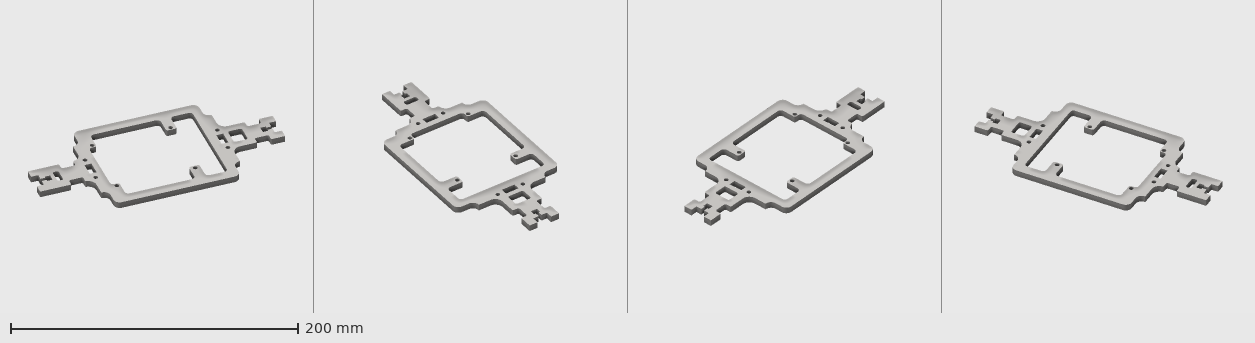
import cadquery as cq

thickness = 5.0
half_length = 91.0
frame_half_width = 43.5
frame_half_length = 46.5
frame_corner_radius = 4.5

shoulder_half_width = 28.2
shoulder_step = 5.1
shoulder_cove_radius = 4.7
shoulder_end = frame_half_length + shoulder_step

arm_half_width = 12.4
arm_cove_radius = 6.0

neck_half_width = 7.3
side_notch_length = 10.4
notch_floor_radius = 1.36
notch_mouth_radius = 1.0
top_notch_center = 75.3
bottom_notch_center = -62.6
mouth_margin = 0.5

tip_opening_width = 11.5
tip_opening_depth = 5.3
bolt_slot_width = 2.5
nut_pocket_width = 5.1
nut_pocket_start = 9.0
nut_pocket_end = 13.0

top_window_width = 12.7
top_window_length = 10.4
top_window_center = 60.5
bottom_window_width = 10.5
bottom_window_length = 4.4
bottom_window_center = -73.2
window_radius = 1.5

slot_width = 10.5
slot_length = shoulder_step
slot_center = frame_half_length + shoulder_step / 2
hole_diameter = 3.3
shoulder_hole_x = 10.5
shoulder_hole_y = 49.1

opening_half_width = 35.9
opening_top = 39.7
opening_bottom = -42.0
opening_radius = 2.5

tab_tip_x = 22.2
tab_bottom = 15.7
tab_top = 23.5
tab_tip_radius = 1.5
tab_cove_radius = 3.0
pad_top = -36.0
pad_tip_radius = 1.5
pad_foot_cove_radius = 2.5
mount_hole_x = 24.5
tab_hole_y = 19.7
pad_hole_y = -38.5

SIDES = (-1, 1)


def block(x_min, x_max, y_min, y_max):
    """Full-thickness block between two pairs of X and Y limits, in either order."""
    return (
        cq.Workplane("XY")
        .center((x_min + x_max) / 2, (y_min + y_max) / 2)
        .rect(abs(x_max - x_min), abs(y_max - y_min))
        .extrude(thickness)
    )


def centered_block(width, y_min, y_max):
    return block(-width / 2, width / 2, y_min, y_max)


def cove(corner_x, corner_y, radius, x_direction, y_direction):
    """Concave quarter-round that fills an inside corner towards the given directions."""
    center_x = corner_x + x_direction * radius
    center_y = corner_y + y_direction * radius
    round_cut = cq.Workplane("XY").center(center_x, center_y).circle(radius).extrude(thickness)
    return block(corner_x, center_x, corner_y, center_y).cut(round_cut)


def make_outer_plate():
    plate = block(-frame_half_width, frame_half_width, -frame_half_length, frame_half_length)
    plate = plate.edges("|Z").fillet(frame_corner_radius)
    plate = plate.union(centered_block(2 * shoulder_half_width, -shoulder_end, shoulder_end))
    plate = plate.union(centered_block(2 * arm_half_width, -half_length, half_length))
    for x_side in SIDES:
        for y_side in SIDES:
            shoulder_x = x_side * shoulder_half_width
            arm_x = x_side * arm_half_width
            frame_y = y_side * frame_half_length
            shoulder_y = y_side * shoulder_end
            plate = plate.union(cove(shoulder_x, frame_y, shoulder_cove_radius, x_side, y_side))
            plate = plate.union(cove(arm_x, shoulder_y, arm_cove_radius, x_side, y_side))
    return plate


def cut_opening(plate):
    opening = block(-opening_half_width, opening_half_width, opening_bottom, opening_top)
    return plate.cut(opening.edges("|Z").fillet(opening_radius))


def add_mounts(plate):
    """Add a tab and a corner pad on each side of the opening."""
    for side in SIDES:
        tip_x = side * tab_tip_x
        wall_x = side * opening_half_width
        root_x = side * (opening_half_width + frame_half_width) / 2
        tip_edges = "|Z and <X" if side > 0 else "|Z and >X"

        tab = block(tip_x, root_x, tab_bottom, tab_top).edges(tip_edges).fillet(tab_tip_radius)
        pad = block(tip_x, root_x, opening_bottom, pad_top)
        pad = pad.edges(tip_edges).edges(">Y").fillet(pad_tip_radius)
        plate = plate.union(tab).union(pad)

        plate = plate.union(cove(wall_x, tab_top, tab_cove_radius, -side, 1))
        plate = plate.union(cove(wall_x, tab_bottom, tab_cove_radius, -side, -1))
        plate = plate.union(cove(wall_x, pad_top, tab_cove_radius, -side, 1))
        plate = plate.union(cove(tip_x, opening_bottom, pad_foot_cove_radius, -side, 1))
    return plate


def cut_arm_tips(plate):
    for side in SIDES:
        tip = side * half_length
        opening_floor = side * (half_length - tip_opening_depth)
        nut_start = side * (half_length - nut_pocket_start)
        nut_end = side * (half_length - nut_pocket_end)
        plate = plate.cut(centered_block(tip_opening_width, tip, opening_floor))
        plate = plate.cut(centered_block(bolt_slot_width, opening_floor, nut_start))
        plate = plate.cut(centered_block(nut_pocket_width, nut_start, nut_end))
    return plate


def cut_side_notches(plate):
    """Notch both sides of each arm, rounding the floor corners and the corners at the mouth."""
    for center_y in (top_notch_center, bottom_notch_center):
        y_min = center_y - side_notch_length / 2
        y_max = center_y + side_notch_length / 2
        for side in SIDES:
            floor_x = side * neck_half_width
            notch = block(floor_x, side * frame_half_width, y_min, y_max)
            plate = plate.cut(notch.edges("|Z").fillet(notch_floor_radius))
            wall_x = side * arm_half_width
            mouth = cq.selectors.BoxSelector(
                (wall_x - mouth_margin, y_min - mouth_margin, 0),
                (wall_x + mouth_margin, y_max + mouth_margin, thickness),
            )
            plate = plate.edges("|Z").edges(mouth).fillet(notch_mouth_radius)
    return plate


def cut_window(plate, width, length, center_y):
    window = centered_block(width, center_y - length / 2, center_y + length / 2)
    return plate.cut(window.edges("|Z").fillet(window_radius))


def cut_shoulder_slots(plate):
    for side in SIDES:
        slot_y = side * slot_center
        plate = plate.cut(centered_block(slot_width, slot_y - slot_length / 2, slot_y + slot_length / 2))
    return plate


def drill_holes(plate):
    centers = []
    for side in SIDES:
        centers.append((side * shoulder_hole_x, shoulder_hole_y))
        centers.append((side * shoulder_hole_x, -shoulder_hole_y))
        centers.append((side * mount_hole_x, tab_hole_y))
        centers.append((side * mount_hole_x, pad_hole_y))
    drills = cq.Workplane("XY").pushPoints(centers).circle(hole_diameter / 2).extrude(thickness)
    return plate.cut(drills)


result = make_outer_plate()
result = cut_opening(result)
result = add_mounts(result)
result = cut_arm_tips(result)
result = cut_side_notches(result)
result = cut_window(result, top_window_width, top_window_length, top_window_center)
result = cut_window(result, bottom_window_width, bottom_window_length, bottom_window_center)
result = cut_shoulder_slots(result)
result = drill_holes(result)